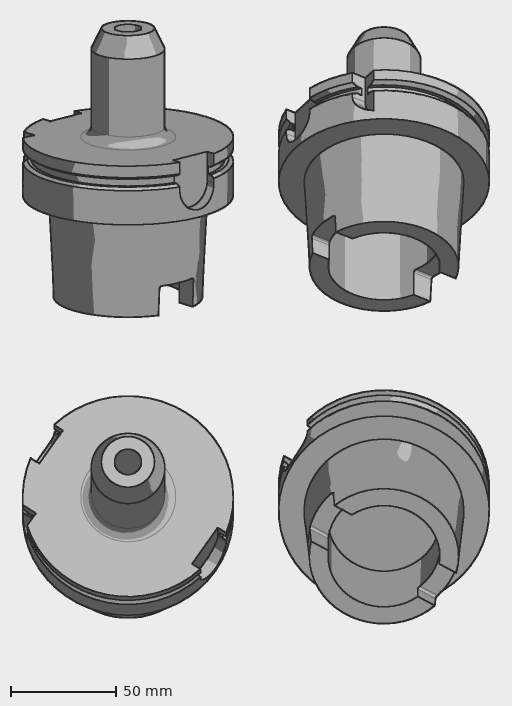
import cadquery as cq
import math

total_height = 132.5
flange_bottom = 50.0
flange_top = 79.0
groove_bottom_edge = 66.8
groove_lower_ledge = 68.0
groove_upper_ledge = 71.8
groove_top_edge = 73.3
tip_cone_height = 10.2

flange_radius = 50.0
groove_radius = 46.0
lower_ledge_radius = 47.9
upper_ledge_radius = 47.6
nose_radius = 17.5
tip_radius = 12.6
nose_fillet = 5.0
shank_top_radius = 37.9
shank_end_radius = 35.4

bore_radius = 6.4
bore_depth = 39.8
shank_bore_radius = 26.5
shank_bore_depth = 39.8

slot_centre_height = 64.7
slot_radius = 10.0
wide_slot_radius = 10.9
slot_floor_distance = 44.0
corner_notch_floor_distance = 31.5
corner_notch_y = -41.4

drive_slot_height = 10.0
deep_drive_slot_height = 14.6
drive_slot_fillet = 1.3


def turned_body():
    """Revolve the half section of shank, grooved flange and nose about Z."""
    fillet_mid_offset = nose_fillet * (1 - math.sqrt(0.5))
    profile = (
        cq.Workplane("XZ")
        .lineTo(shank_end_radius, 0)
        .lineTo(shank_top_radius, flange_bottom)
        .lineTo(flange_radius, flange_bottom)
        .lineTo(flange_radius, groove_bottom_edge)
        .lineTo(lower_ledge_radius, groove_lower_ledge)
        .lineTo(groove_radius, groove_lower_ledge)
        .lineTo(groove_radius, groove_upper_ledge)
        .lineTo(upper_ledge_radius, groove_upper_ledge)
        .lineTo(flange_radius, groove_top_edge)
        .lineTo(flange_radius, flange_top)
        .lineTo(nose_radius + nose_fillet, flange_top)
        .threePointArc(
            (nose_radius + fillet_mid_offset, flange_top + fillet_mid_offset),
            (nose_radius, flange_top + nose_fillet),
        )
        .lineTo(nose_radius, total_height - tip_cone_height)
        .lineTo(tip_radius, total_height)
        .lineTo(0, total_height)
        .close()
    )
    return profile.revolve(360, (0, 0, 0), (0, 1, 0))


def flange_slot(side, floor_distance, radius, centre_y=0):
    """Slot open at the flange top and rim; side is +1 for +X and -1 for -X."""
    length = flange_radius - floor_distance
    straight_height = flange_top - slot_centre_height
    plane = cq.Workplane("YZ", origin=(side * floor_distance, centre_y, slot_centre_height))
    round_end = plane.circle(radius).extrude(side * length)
    straight = (
        plane.center(0, straight_height / 2)
        .rect(2 * radius, straight_height)
        .extrude(side * length)
    )
    return round_end.union(straight)


def drive_slot(side, width, height):
    """Slot through the shank wall, open at the end, with rounded upper corners."""
    return (
        cq.Workplane("XY")
        .box(flange_radius, width, height, centered=(True, True, False))
        .translate((side * flange_radius / 2, 0, 0))
        .edges("|X and >Z")
        .fillet(drive_slot_fillet)
    )


tool_bore = cq.Workplane("XY", origin=(0, 0, total_height)).circle(bore_radius).extrude(-bore_depth)
shank_bore = cq.Workplane("XY").circle(shank_bore_radius).extrude(shank_bore_depth)

result = (
    turned_body()
    .cut(tool_bore)
    .cut(shank_bore)
    .cut(flange_slot(-1, slot_floor_distance, slot_radius))
    .cut(flange_slot(1, slot_floor_distance, wide_slot_radius))
    .cut(flange_slot(-1, corner_notch_floor_distance, slot_radius, corner_notch_y))
    .cut(drive_slot(-1, 2 * slot_radius, drive_slot_height))
    .cut(drive_slot(1, 2 * wide_slot_radius, deep_drive_slot_height))
)